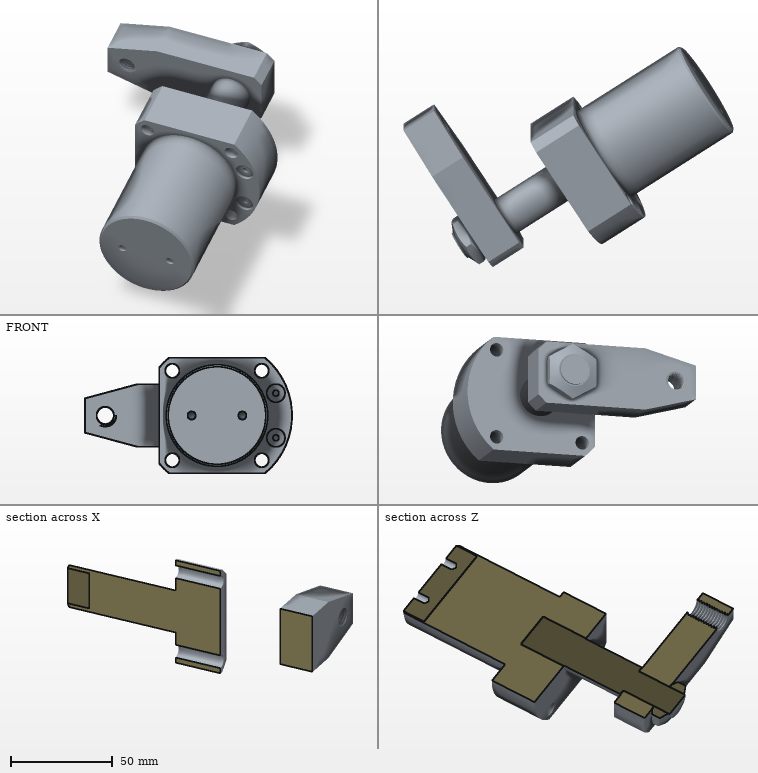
import cadquery as cq
import math


barrel_diameter = 50
barrel_length = 60
barrel_chamfer = 1
flange_width = 57
flange_round_diameter = 74
flange_thickness = 25
mount_hole_diameter = 6.8
mount_hole_offset = 22
port_recess_diameter = 9
port_recess_depth = 1.5
port_hole_diameter = 3
port_hole_depth = 12
port_x = 29
port_z = 11

cap_diameter = barrel_diameter - 2 * barrel_chamfer
cap_thickness = 12
spanner_hole_diameter = 4
spanner_hole_depth = 6
spanner_hole_offset = 12.5
drill_point_angle = 118

rod_diameter = 20
stud_diameter = 14.6
stud_projection = 1

arm_gap = 33
arm_thickness = 18
arm_reach = 65
arm_back = 16
arm_width = 31
arm_tip_width = 17
arm_taper_start = 39
arm_back_chamfer = 4
thread_x = -55
thread_minor_diameter = 8.4
thread_pitch = 1.5
thread_depth = thread_pitch * math.cos(math.radians(30))
thread_clearance = 0.1

nut_across_flats = 24
nut_height = 8
nut_seat_radius = 9.2
nut_seat_angle = 28
nut_top_radius = 8
nut_top_angle = 25

barrel_end = -barrel_length
arm_start = flange_thickness + arm_gap
arm_end = arm_start + arm_thickness
nut_end = arm_end + nut_height
stud_end = nut_end + stud_projection


def section(y):
    """Workplane at height y along the cylinder axis, with local x along X, local y along -Z."""
    return cq.Workplane(cq.Plane(origin=(0, y, 0), xDir=(1, 0, 0), normal=(0, 1, 0)))


def cylinder(diameter, start, end):
    """Round bar along the cylinder axis."""
    return section(start).circle(diameter / 2).extrude(end - start)


def drilled_hole(diameter, depth):
    """Blind hole with a drill point, as a solid along +Y from the origin."""
    radius = diameter / 2
    point_length = radius / math.tan(math.radians(drill_point_angle / 2))
    profile = [(0, 0), (radius, 0), (radius, depth), (0, depth + point_length)]
    return cq.Workplane("XY").polyline(profile).close().revolve(360, (0, 0, 0), (0, 1, 0))


def make_housing():
    half_width = flange_width / 2
    round_radius = flange_round_diameter / 2
    arc_offset = math.sqrt(round_radius**2 - half_width**2)
    corner_middle = round_radius * math.sqrt(0.5)
    flange = (
        section(0)
        .moveTo(-arc_offset, -half_width)
        .lineTo(arc_offset, -half_width)
        .threePointArc((round_radius, 0), (arc_offset, half_width))
        .lineTo(-arc_offset, half_width)
        .threePointArc((-corner_middle, corner_middle), (-half_width, arc_offset))
        .lineTo(-half_width, -arc_offset)
        .threePointArc((-corner_middle, -corner_middle), (-arc_offset, -half_width))
        .close()
        .extrude(flange_thickness)
    )
    barrel = cylinder(barrel_diameter, barrel_end, 0).faces("<Y").chamfer(barrel_chamfer)
    housing = flange.union(barrel)

    mount_pitch = 2 * mount_hole_offset
    mount_holes = (
        section(0)
        .rect(mount_pitch, mount_pitch, forConstruction=True)
        .vertices()
        .circle(mount_hole_diameter / 2)
        .extrude(flange_thickness)
    )
    ports = section(0).pushPoints([(port_x, -port_z), (port_x, port_z)])
    port_recesses = ports.circle(port_recess_diameter / 2).extrude(port_recess_depth)
    port_holes = ports.circle(port_hole_diameter / 2).extrude(port_hole_depth)
    cap_recess = cylinder(cap_diameter, barrel_end, barrel_end + cap_thickness)
    rod_bore = cylinder(rod_diameter, 0, flange_thickness)
    for cutter in (mount_holes, port_recesses, port_holes, cap_recess, rod_bore):
        housing = housing.cut(cutter)
    return housing


def make_cap():
    cap = cylinder(cap_diameter, barrel_end, barrel_end + cap_thickness)
    for side in (-1, 1):
        hole = drilled_hole(spanner_hole_diameter, spanner_hole_depth)
        cap = cap.cut(hole.translate((side * spanner_hole_offset, barrel_end, 0)))
    return cap


def make_rod():
    shaft = cylinder(rod_diameter, 0, arm_start)
    stud = cylinder(stud_diameter, arm_start, stud_end)
    return shaft.union(stud)


def make_thread_groove():
    """Right-hand V groove along +Y, starting on the arm face on the +X side of the hole."""
    minor_radius = thread_minor_diameter / 2
    major_radius = minor_radius + thread_depth
    inner_radius = minor_radius - thread_clearance
    half_width = thread_pitch / 2 - thread_clearance
    path = cq.Wire.makeHelix(thread_pitch, arm_thickness + thread_pitch, minor_radius)
    profile = [(inner_radius, -half_width), (major_radius, 0), (inner_radius, half_width)]
    groove = cq.Workplane("XZ").polyline(profile).close().sweep(path, isFrenet=True)
    return groove.rotate((0, 0, 0), (1, 0, 0), -90).translate((thread_x, arm_start, 0))


def make_arm():
    half_width = arm_width / 2
    half_tip = arm_tip_width / 2
    outline = [
        (-arm_reach, -half_tip),
        (-arm_taper_start, -half_width),
        (arm_back - arm_back_chamfer, -half_width),
        (arm_back, arm_back_chamfer - half_width),
        (arm_back, half_width - arm_back_chamfer),
        (arm_back - arm_back_chamfer, half_width),
        (-arm_taper_start, half_width),
        (-arm_reach, half_tip),
    ]
    arm = section(arm_start).polyline(outline).close().extrude(arm_thickness)
    tapped_hole = cylinder(thread_minor_diameter, arm_start, arm_end).translate((thread_x, 0, 0))
    stud_bore = cylinder(stud_diameter, arm_start, arm_end)
    return arm.cut(make_thread_groove()).cut(tapped_hole).cut(stud_bore)


def make_nut():
    across_corners = nut_across_flats / math.cos(math.radians(30))
    hexagon = (
        section(arm_end)
        .transformed(rotate=(0, 0, 30))
        .polygon(6, across_corners)
        .extrude(nut_height)
    )
    outer_radius = across_corners / 2
    seat_rise = (outer_radius - nut_seat_radius) * math.tan(math.radians(nut_seat_angle))
    top_drop = (outer_radius - nut_top_radius) * math.tan(math.radians(nut_top_angle))
    profile = [
        (0, arm_end),
        (nut_seat_radius, arm_end),
        (outer_radius, arm_end + seat_rise),
        (outer_radius, nut_end - top_drop),
        (nut_top_radius, nut_end),
        (0, nut_end),
    ]
    cones = cq.Workplane("XY").polyline(profile).close().revolve(360, (0, 0, 0), (0, 1, 0))
    return hexagon.intersect(cones).cut(cylinder(stud_diameter, arm_end, nut_end))


housing = make_housing()
cap = make_cap()
rod = make_rod()
arm = make_arm()
nut = make_nut()

bodies = (housing, cap, rod, arm, nut)
result = cq.Compound.makeCompound([body.solids().val() for body in bodies])